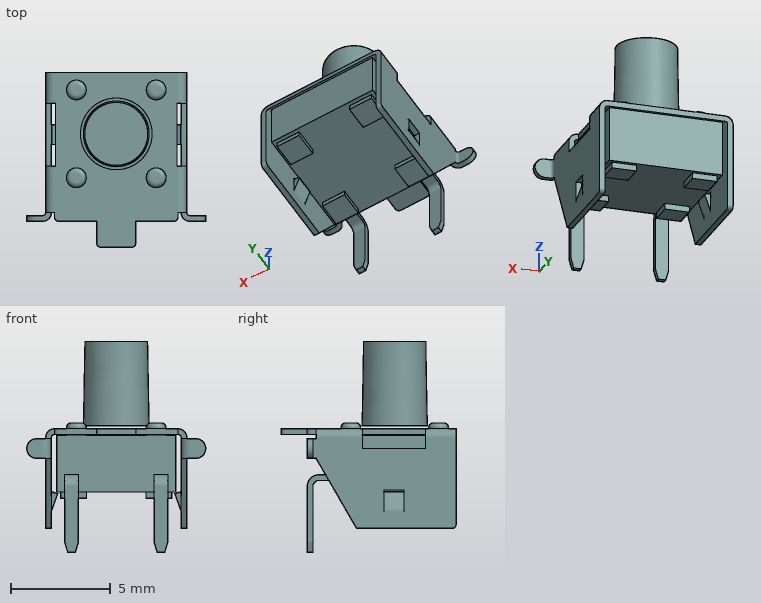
import cadquery as cq
import math


sheet = 0.3
bend_outer = 0.45
bend_inner = bend_outer - sheet
plate_top = 6.21
plate_underside = plate_top - sheet
side_outer_x = 3.55
side_inner_x = side_outer_x - sheet
plate_half_width = side_outer_x - bend_outer
back_y = 3.1
side_front_y = -3.95
front_y = side_front_y - bend_outer
side_bottom = 1.2
side_bottom_front_y = -1.92
corner_radius = 0.21
button_hole_diameter = 3.6
tongue_half_width = 0.99
tongue_front_y = -5.7

side_centre_y = -0.04
window_length = 3.16
window_bottom = 5.2
window_inner_x = 3.05
latch_width = 1.01
latch_opening_bottom = 2.05
latch_opening_top = 3.13
latch_length = 0.9
latch_angle = 20.0

overall_width = 9.0
ear_diameter = 1.0
ear_centre_z = 5.22
ear_tip_x = overall_width / 2

base_size = 6.0
base_top = 5.88
base_bottom = 3.02
foot_height = 0.31
foot_inner = 1.49
foot_outer = 2.8
rivet_diameter = 1.0
rivet_height = 0.3
rivet_round = 0.24
rivet_x = 2.0
rivet_y = 2.2
dish_radius = 1.61
dish_depth = 0.91

button_bottom = 6.35
button_top = 10.6
button_bottom_diameter = 3.31
button_top_diameter = 3.16

pin_x = 2.25
pin_width = 0.69
pin_top = 3.9
pin_bend_outer = 0.59
pin_bend_inner = pin_bend_outer - sheet
pin_tip_width = 0.39
pin_tip_height = 0.5


def box(x_range, y_range, z_range):
    """Axis-aligned box between the given limits."""
    (x0, x1), (y0, y1), (z0, z1) = x_range, y_range, z_range
    return cq.Workplane("XY").box(x1 - x0, y1 - y0, z1 - z0, centered=False).translate((x0, y0, z0))


def rivet_points():
    """Centres of the four rivets."""
    return [(x, y) for x in (-rivet_x, rivet_x) for y in (-rivet_y, rivet_y)]


def bracket_channel():
    """Top plate with both side walls bent down from it, open underneath."""
    height = plate_top - side_bottom
    length = back_y - side_front_y
    middle_y = (back_y + side_front_y) / 2
    outside = (
        cq.Workplane("XY", origin=(0, middle_y, side_bottom))
        .box(2 * side_outer_x, length, height, centered=(True, True, False))
        .edges("|Y and >Z").fillet(bend_outer)
    )
    inside = (
        cq.Workplane("XY", origin=(0, middle_y, side_bottom))
        .box(2 * side_inner_x, length, height - sheet, centered=(True, True, False))
        .edges("|Y and >Z").fillet(bend_inner)
    )
    return outside.cut(inside)


def bracket_side_outline():
    """Solid that covers the side walls' outline and trims them to shape."""
    slope_top = ear_centre_z - ear_diameter / 2
    return (
        cq.Workplane("YZ", origin=(-side_outer_x, 0, 0))
        .moveTo(back_y, plate_top)
        .lineTo(side_front_y, plate_top)
        .lineTo(side_front_y, slope_top)
        .lineTo(side_bottom_front_y, side_bottom)
        .lineTo(back_y - corner_radius, side_bottom)
        .radiusArc((back_y, side_bottom + corner_radius), -corner_radius)
        .close()
        .extrude(2 * side_outer_x)
    )


def bracket_front_plate():
    """Front strip of the top plate with the tongue, corners rounded."""
    z_range = (plate_underside, plate_top)
    strip = box((-plate_half_width, plate_half_width), (front_y, side_front_y), z_range)
    tongue = box((-tongue_half_width, tongue_half_width), (tongue_front_y, front_y), z_range)
    strip = strip.edges("|Z and <Y").fillet(corner_radius)
    tongue = tongue.edges("|Z and <Y").fillet(corner_radius)
    return strip.union(tongue)


def bracket_ear():
    """Ear bent outward from the front edge of the +X side wall, with a round end."""
    bend_x = side_inner_x + bend_outer
    ear_bottom = ear_centre_z - ear_diameter / 2
    bend = (
        cq.Workplane("XY", origin=(0, 0, ear_bottom))
        .moveTo(side_inner_x, side_front_y)
        .radiusArc((bend_x, front_y), -bend_outer)
        .lineTo(bend_x, front_y + sheet)
        .radiusArc((side_outer_x, side_front_y), bend_inner)
        .close()
        .extrude(ear_diameter)
    )
    round_x = ear_tip_x - ear_diameter / 2
    flat = (
        cq.Workplane("XZ", origin=(0, front_y + sheet, ear_centre_z))
        .moveTo(bend_x, -ear_diameter / 2)
        .lineTo(round_x, -ear_diameter / 2)
        .threePointArc((ear_tip_x, 0), (round_x, ear_diameter / 2))
        .lineTo(bend_x, ear_diameter / 2)
        .close()
        .extrude(sheet)
    )
    return bend.union(flat)


def bracket_latch():
    """Latch bent inward from the +X side wall at the bottom of its opening, cut square at its free end."""
    lean = math.radians(latch_angle)
    bend_centre = (side_outer_x - bend_outer, latch_opening_bottom)

    def on_bend(radius, run):
        """Point at the end of the bend, moved by run along the leaning part."""
        return (
            bend_centre[0] + radius * math.cos(lean) - run * math.sin(lean),
            bend_centre[1] + radius * math.sin(lean) + run * math.cos(lean),
        )

    return (
        cq.Workplane("XZ", origin=(0, side_centre_y + latch_width / 2, 0))
        .moveTo(side_outer_x, latch_opening_bottom)
        .radiusArc(on_bend(bend_outer, 0), -bend_outer)
        .lineTo(*on_bend(bend_outer, latch_length))
        .lineTo(*on_bend(bend_inner, latch_length))
        .lineTo(*on_bend(bend_inner, 0))
        .radiusArc((side_inner_x, latch_opening_bottom), bend_inner)
        .close()
        .extrude(latch_width)
    )


def bracket_side_openings():
    """Window at the bend and latch opening of the +X side wall."""
    def y_range(length):
        return (side_centre_y - length / 2, side_centre_y + length / 2)

    window = box((window_inner_x, side_outer_x), y_range(window_length), (window_bottom, plate_top))
    latch_opening = box(
        (side_inner_x, side_outer_x), y_range(latch_width), (latch_opening_bottom, latch_opening_top)
    )
    return window.union(latch_opening)


def make_bracket():
    bracket = bracket_channel().intersect(bracket_side_outline()).union(bracket_front_plate())
    openings = bracket_side_openings()
    bracket = bracket.cut(openings).cut(openings.mirror("YZ"))
    for detail in (bracket_ear(), bracket_latch()):
        bracket = bracket.union(detail).union(detail.mirror("YZ"))
    top = cq.Workplane("XY", origin=(0, 0, plate_underside))
    button_hole = top.circle(button_hole_diameter / 2).extrude(sheet)
    rivet_holes = top.pushPoints(rivet_points()).circle(rivet_diameter / 2).extrude(sheet)
    return bracket.cut(button_hole).cut(rivet_holes)


def make_base():
    """Block with four feet, a dish under the button and rivets through the bracket plate."""
    base = (
        cq.Workplane("XY", origin=(0, 0, base_bottom))
        .rect(base_size, base_size)
        .extrude(base_top - base_bottom)
    )
    foot_size = foot_outer - foot_inner
    foot_spacing = foot_outer + foot_inner
    feet = (
        cq.Workplane("XY", origin=(0, 0, base_bottom - foot_height))
        .rarray(foot_spacing, foot_spacing, 2, 2)
        .rect(foot_size, foot_size)
        .extrude(foot_height)
    )
    rivets = (
        cq.Workplane("XY", origin=(0, 0, base_top))
        .pushPoints(rivet_points())
        .circle(rivet_diameter / 2)
        .extrude(plate_top + rivet_height - base_top)
        .faces(">Z").edges().fillet(rivet_round)
    )
    sphere_radius = (dish_radius**2 + dish_depth**2) / (2 * dish_depth)
    dish = cq.Workplane("XY", origin=(0, 0, base_top - dish_depth + sphere_radius)).sphere(sphere_radius)
    return base.cut(dish).union(feet).union(rivets)


def make_button():
    """Slightly tapered round button."""
    return (
        cq.Workplane("XY", origin=(0, 0, button_bottom))
        .circle(button_bottom_diameter / 2)
        .workplane(offset=button_top - button_bottom)
        .circle(button_top_diameter / 2)
        .loft()
    )


def make_terminal(x):
    """Pin leaving the base front, bent down and narrowed at its tip."""
    bend_y = front_y + pin_bend_outer
    bend_z = pin_top - pin_bend_outer
    strip = (
        cq.Workplane("YZ", origin=(x - pin_width / 2, 0, 0))
        .moveTo(-base_size / 2, pin_top)
        .lineTo(bend_y, pin_top)
        .radiusArc((front_y, bend_z), -pin_bend_outer)
        .lineTo(front_y, 0)
        .lineTo(front_y + sheet, 0)
        .lineTo(front_y + sheet, bend_z)
        .radiusArc((bend_y, pin_top - sheet), pin_bend_inner)
        .lineTo(-base_size / 2, pin_top - sheet)
        .close()
        .extrude(pin_width)
    )
    outline = (
        cq.Workplane("XZ", origin=(x, 0, 0))
        .moveTo(-pin_tip_width / 2, 0)
        .lineTo(pin_tip_width / 2, 0)
        .lineTo(pin_width / 2, pin_tip_height)
        .lineTo(pin_width / 2, pin_top)
        .lineTo(-pin_width / 2, pin_top)
        .lineTo(-pin_width / 2, pin_tip_height)
        .close()
        .extrude(-front_y)
    )
    return strip.intersect(outline)


bracket = make_bracket()
base = make_base()
button = make_button()
terminals = [make_terminal(x) for x in (-pin_x, pin_x)]

result = cq.Compound.makeCompound(
    [bracket.val(), base.val(), button.val(), *[terminal.val() for terminal in terminals]]
)